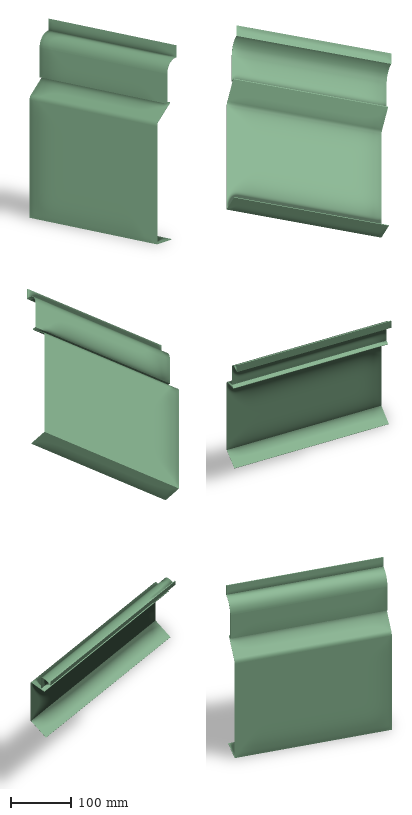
import cadquery as cq
import math

width = 270.7
depth = 51.5
height = 331.0
thickness = 1.0

top_flange_height = 20.0
cove_radius = 24.0
ledge_top = 236.5
ledge_back = 34.8
slope_angle = math.radians(40)
bend_radius = 10.0
bottom_flange_depth = 39.0

flange_front = depth - thickness
cove_top = height - top_flange_height
cove_center_z = cove_top - cove_radius
upper_wall_front = flange_front - cove_radius
upper_wall_back = upper_wall_front + thickness
ledge_bottom = ledge_top - thickness

slope_start_y = ledge_back - thickness / math.tan(slope_angle)
slope_back_z = ledge_top - thickness / math.cos(slope_angle)
bend_top_y = bend_radius * (1 - math.sin(slope_angle))
bend_top_z = ledge_top - (ledge_back - bend_top_y) * math.tan(slope_angle)
bend_center_z = bend_top_z - bend_radius * math.cos(slope_angle)


def cove_point(radius, angle):
    """Point on the cove; the angle is measured from the front, upwards."""
    return flange_front - radius * math.cos(angle), cove_center_z + radius * math.sin(angle)


def bend_point(radius, angle):
    """Point on the lower bend; the angle is measured from the front, upwards."""
    return bend_radius - radius * math.cos(angle), bend_center_z + radius * math.sin(angle)


quarter_turn = math.pi / 2
bend_turn = quarter_turn - slope_angle
cove_inner_radius = cove_radius - thickness
bend_inner_radius = bend_radius - thickness

profile = (
    cq.Workplane("YZ")
    .moveTo(depth, height)
    .lineTo(flange_front, height)
    .lineTo(flange_front, cove_top)
    .threePointArc(cove_point(cove_radius, quarter_turn / 2), cove_point(cove_radius, 0))
    .lineTo(upper_wall_front, ledge_bottom)
    .lineTo(slope_start_y, ledge_bottom)
    .lineTo(bend_top_y, bend_top_z)
    .threePointArc(bend_point(bend_radius, bend_turn / 2), bend_point(bend_radius, 0))
    .lineTo(0, 0)
    .lineTo(bottom_flange_depth, 0)
    .lineTo(bottom_flange_depth, thickness)
    .lineTo(thickness, thickness)
    .lineTo(*bend_point(bend_inner_radius, 0))
    .threePointArc(
        bend_point(bend_inner_radius, bend_turn / 2), bend_point(bend_inner_radius, bend_turn)
    )
    .lineTo(ledge_back, slope_back_z)
    .lineTo(ledge_back, ledge_top)
    .lineTo(upper_wall_back, ledge_top)
    .lineTo(*cove_point(cove_inner_radius, 0))
    .threePointArc(
        cove_point(cove_inner_radius, quarter_turn / 2), cove_point(cove_inner_radius, quarter_turn)
    )
    .lineTo(depth, cove_top - thickness)
    .close()
)

result = profile.extrude(width / 2, both=True)